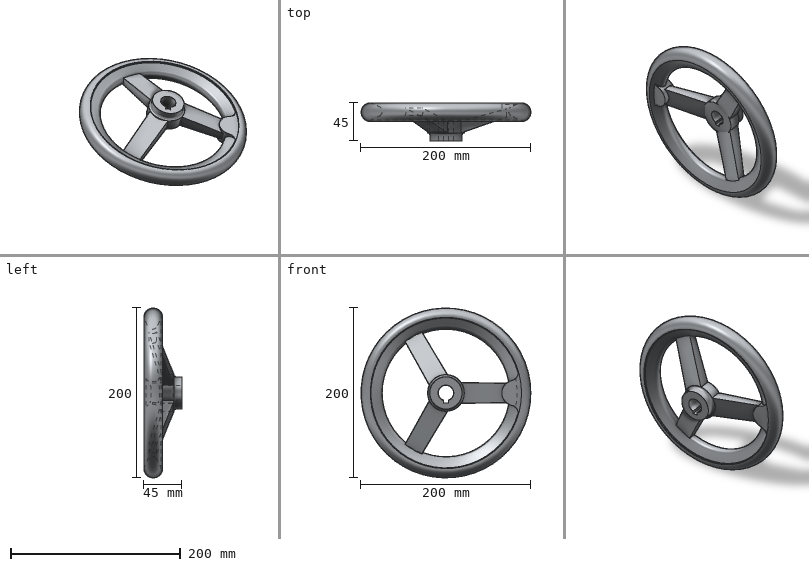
import cadquery as cq
import math

wheel_radius = 100.0
rim_half_depth = 11.0
rim_mid_radius = wheel_radius - rim_half_depth
lip_radius = 79.5
lip_y = -5.0
lip_back_y = 7.0
recess_y = -9.2
ledge_radius = 88.2
rim_inner_radius = 75.0

hub_front_y = -34.0
hub_back_y = -10.0
hub_radius = 21.5
collar_radius = 19.0
collar_end_y = -27.8
shoulder_y = -24.2
bore_radius = 9.0
key_width = 5.5
key_depth = 11.8

spoke_count = 3
spoke_root = 16.0
spoke_face_start = 18.5
spoke_tip = 78.0
spoke_root_half_width = 12.5
spoke_tip_half_width = 11.5
spoke_slope = 0.35
spoke_root_thickness = 14.2
spoke_tip_thickness = 9.0

boss_offset = 80.8
boss_radius = 15.0
boss_fillet = 10.0
boss_depth = 18.0


def revolve_about_y(profile):
    """Revolve a closed XY profile about the wheel axis."""
    return profile.close().revolve(360, (0, 0, 0), (0, 1, 0))


def extrude_along_y(outline, start_y, end_y):
    """Extrude an XZ outline between two positions on the wheel axis."""
    return outline.extrude(start_y - end_y).translate((0, start_y, 0))


def make_rim():
    """Rim with a round outside, a conical front recess and a rounded inner lip."""
    return revolve_about_y(
        cq.Workplane("XY")
        .moveTo(rim_mid_radius, -rim_half_depth)
        .threePointArc((wheel_radius, 0), (rim_mid_radius, rim_half_depth))
        .lineTo(lip_radius, lip_back_y)
        .threePointArc((rim_inner_radius, (lip_y + lip_back_y) / 2), (lip_radius, lip_y))
        .lineTo(ledge_radius, recess_y)
        .lineTo(rim_mid_radius, recess_y)
    )


def make_hub():
    """Hub body with a concave shoulder down to the front collar."""
    sag = 1 - math.sqrt(0.5)
    flare_radius = collar_radius + sag * (hub_radius - collar_radius)
    flare_y = shoulder_y + sag * (collar_end_y - shoulder_y)
    return revolve_about_y(
        cq.Workplane("XY")
        .moveTo(0, hub_front_y)
        .lineTo(collar_radius, hub_front_y)
        .lineTo(collar_radius, collar_end_y)
        .threePointArc((flare_radius, flare_y), (hub_radius, shoulder_y))
        .lineTo(hub_radius, hub_back_y)
        .lineTo(0, hub_back_y)
    )


def make_spoke():
    """Tapered spoke along +X, sloping back from the hub to the rim."""
    root_y = shoulder_y - spoke_slope * (spoke_face_start - spoke_root)
    tip_y = root_y + spoke_slope * (spoke_tip - spoke_root)
    side = (
        cq.Workplane("XY")
        .moveTo(spoke_root, root_y)
        .lineTo(spoke_tip, tip_y)
        .lineTo(spoke_tip, tip_y + spoke_tip_thickness)
        .lineTo(spoke_root, root_y + spoke_root_thickness)
        .close()
        .extrude(2 * spoke_root_half_width, both=True)
    )
    face = cq.Workplane("XZ").polyline([
        (spoke_root, -spoke_root_half_width),
        (spoke_tip, -spoke_tip_half_width),
        (spoke_tip, spoke_tip_half_width),
        (spoke_root, spoke_root_half_width),
    ]).close()
    return extrude_along_y(face, shoulder_y, rim_half_depth).intersect(side)


def make_handle_boss():
    """Flat boss on the +X side, blended into the rim with tangent arcs."""
    blend_reach = rim_mid_radius - boss_fillet
    boss_reach = boss_radius + boss_fillet
    blend_x = (blend_reach**2 + boss_offset**2 - boss_reach**2) / (2 * boss_offset)
    blend_z = math.sqrt(blend_reach**2 - blend_x**2)
    boss_touch_x = boss_offset + (blend_x - boss_offset) * boss_radius / boss_reach
    boss_touch_z = blend_z * boss_radius / boss_reach
    rim_touch_x = blend_x * rim_mid_radius / blend_reach
    rim_touch_z = blend_z * rim_mid_radius / blend_reach
    outline = (
        cq.Workplane("XZ")
        .moveTo(boss_touch_x, -boss_touch_z)
        .threePointArc((boss_offset - boss_radius, 0), (boss_touch_x, boss_touch_z))
        .threePointArc((blend_x + boss_fillet, blend_z), (rim_touch_x, rim_touch_z))
        .threePointArc((rim_mid_radius, 0), (rim_touch_x, -rim_touch_z))
        .threePointArc((blend_x + boss_fillet, -blend_z), (boss_touch_x, -boss_touch_z))
        .close()
    )
    return extrude_along_y(outline, recess_y, recess_y + boss_depth)


def make_bore():
    """Through bore with a keyway on the -Z side."""
    bore = cq.Workplane("XZ").circle(bore_radius)
    keyway = cq.Workplane("XZ").center(0, -key_depth / 2).rect(key_width, key_depth)
    bore = extrude_along_y(bore, hub_front_y, hub_back_y)
    return bore.union(extrude_along_y(keyway, hub_front_y, hub_back_y))


result = make_rim().union(make_hub()).union(make_handle_boss())
for index in range(spoke_count):
    angle = index * 360 / spoke_count
    result = result.union(make_spoke().rotate((0, 0, 0), (0, 1, 0), angle))
result = result.cut(make_bore())